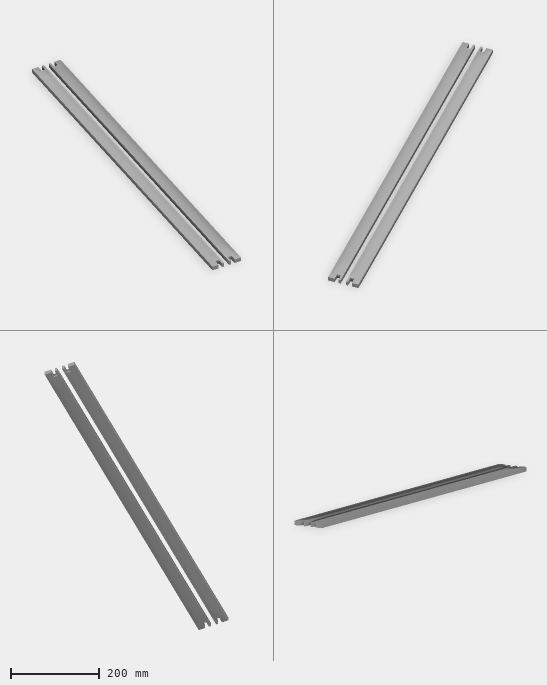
import cadquery as cq

length = 846.0
overall_width = 73.0
thickness = 10.0
rail_gap = 13.0
rail_width = (overall_width - rail_gap) / 2

slot_depth = 15.0
slot_width = 9.0
inner_prong_width = 5.0


def end_slot(end, side):
    """Slot cutter for the rail on the given Y side, at the given X end."""
    center_x = end * (length - slot_depth) / 2
    center_y = side * (rail_gap / 2 + inner_prong_width + slot_width / 2)
    return cq.Workplane("XY").box(slot_depth, slot_width, thickness).translate((center_x, center_y, 0))


def make_rail(side):
    """Flat rail with a slot at both ends; side is +1 or -1 along Y."""
    center_y = side * (rail_gap + rail_width) / 2
    rail = cq.Workplane("XY").box(length, rail_width, thickness).translate((0, center_y, 0))
    for end in (-1, 1):
        rail = rail.cut(end_slot(end, side))
    return rail


rails = [make_rail(side) for side in (-1, 1)]

result = cq.Compound.makeCompound([rail.solids().val() for rail in rails])